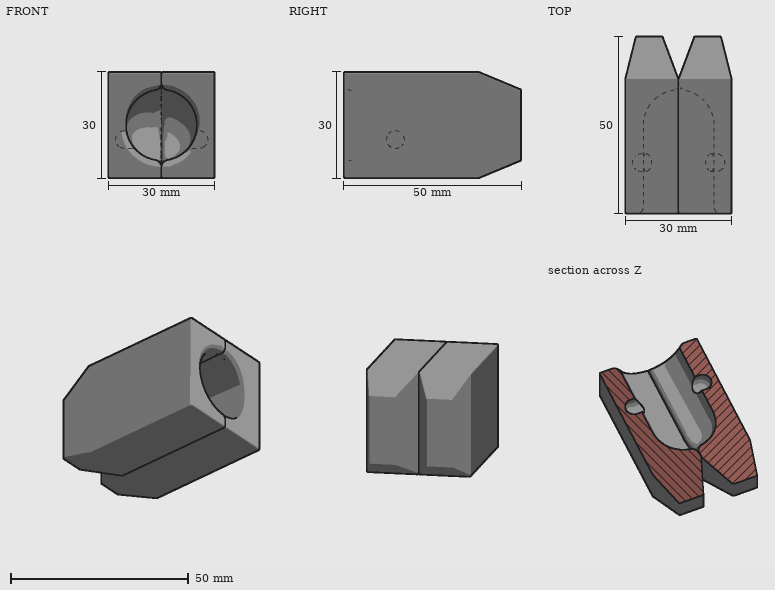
import cadquery as cq

jaw_width = 15.0
height = 30.0
length = 50.0
outer_edge_radius = 0.5

nose_length = 12.0
nose_inner_inset = 4.5
nose_outer_inset = 3.0
nose_height_inset = 5.0

bore_radius = 10.0
bore_center_depth = 25.0
bore_edge_radius = 2.0

pocket_radius = 2.5
pocket_depth = 14.5
pocket_drop = 4.0
pocket_dome_x = 10.5

select_margin = 0.5

shoulder_y = length - nose_length
half_height = height / 2
tip_half_height = half_height - nose_height_inset


def make_blank():
    """Sharp-edged block with a tapered nose: its plan outline crossed with its side outline."""
    plan = (
        cq.Workplane("XY")
        .polyline(
            [
                (0, 0),
                (jaw_width, 0),
                (jaw_width, shoulder_y),
                (jaw_width - nose_outer_inset, length),
                (nose_inner_inset, length),
                (0, shoulder_y),
            ]
        )
        .close()
        .extrude(half_height, both=True)
    )
    side = (
        cq.Workplane("YZ")
        .polyline(
            [
                (0, -half_height),
                (shoulder_y, -half_height),
                (length, -tip_half_height),
                (length, tip_half_height),
                (shoulder_y, half_height),
                (0, half_height),
            ]
        )
        .close()
        .extrude(jaw_width)
    )
    return plan.intersect(side)


def round_ended_rod(plane, radius, straight_length):
    """Cylinder from the plane's origin along its normal, ending in a hemisphere."""
    rod = cq.Workplane(plane).circle(radius).extrude(straight_length)
    dome = cq.Workplane(plane).workplane(offset=straight_length).sphere(radius)
    return rod.union(dome)


def make_bore():
    mouth = cq.Plane(origin=(0, 0, 0), xDir=(1, 0, 0), normal=(0, 1, 0))
    return round_ended_rod(mouth, bore_radius, bore_center_depth)


def make_pocket():
    start = cq.Plane(origin=(0, pocket_depth, -pocket_drop), xDir=(0, 1, 0), normal=(1, 0, 0))
    return round_ended_rod(start, pocket_radius, pocket_dome_x)


def round_bore_edges(jaw):
    """Round the bore mouth and the bore's edge along the split plane."""
    reach = bore_radius + select_margin
    bore_rim = cq.selectors.BoxSelector(
        (-select_margin, -select_margin, -reach),
        (reach, bore_center_depth + reach, reach),
        boundingbox=True,
    )
    return jaw.edges(bore_rim).fillet(bore_edge_radius)


def make_right_jaw():
    """Jaw on the +X side; its flat inner face lies on the split plane X = 0."""
    jaw = round_bore_edges(make_blank().cut(make_bore()))
    jaw = jaw.edges("%LINE").fillet(outer_edge_radius)
    return jaw.cut(make_pocket())


right_jaw = make_right_jaw()
left_jaw = right_jaw.mirror("YZ")

result = cq.Compound.makeCompound([left_jaw.val(), right_jaw.val()])